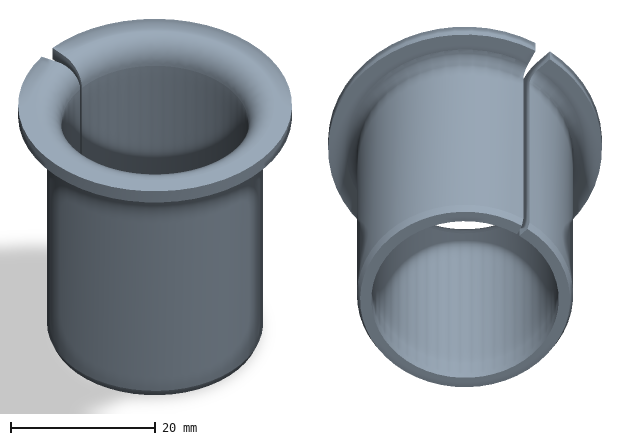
import cadquery as cq

height = 40.0
bore_radius = 13.0
wall = 2.0
flange_radius = 19.0
inner_bend_radius = 3.5
chamfer_height = 1.1
chamfer_width = 0.45
slit_inner_width = 0.4
slit_outer_width = 2.45

body_radius = bore_radius + wall
outer_bend_radius = inner_bend_radius - wall
bend_center_radius = bore_radius + inner_bend_radius
bend_center_z = height - inner_bend_radius
flange_bottom_z = height - wall
half_diagonal = 0.5 ** 0.5


def bend_midpoint(radius):
    """Middle of a quarter bend that turns the wall outward into the flange."""
    offset = radius * half_diagonal
    return (bend_center_radius - offset, bend_center_z + offset)


def make_sleeve():
    """Revolve the wall section, with its curved transition into the flange."""
    section = (
        cq.Workplane("XZ")
        .moveTo(bore_radius, 0)
        .lineTo(body_radius - chamfer_width, 0)
        .lineTo(body_radius, chamfer_height)
        .lineTo(body_radius, bend_center_z)
        .threePointArc(bend_midpoint(outer_bend_radius), (bend_center_radius, flange_bottom_z))
        .lineTo(flange_radius, flange_bottom_z)
        .lineTo(flange_radius, height)
        .lineTo(bend_center_radius, height)
        .threePointArc(bend_midpoint(inner_bend_radius), (bore_radius, bend_center_z))
        .close()
    )
    sleeve = section.revolve(360, (0, 0, 0), (0, 1, 0))
    return sleeve.rotate((0, 0, 0), (0, 0, 1), 180)


def make_slit():
    """Full-height wedge that widens from the bore to beyond the flange rim."""
    half_width_slope = (slit_outer_width - slit_inner_width) / 2 / (flange_radius - bore_radius)

    def half_width(radius):
        return slit_inner_width / 2 + half_width_slope * (radius - bore_radius)

    near = bore_radius - slit_inner_width
    far = flange_radius + wall
    return (
        cq.Workplane("XY")
        .polyline([
            (-near, -half_width(near)),
            (-far, -half_width(far)),
            (-far, half_width(far)),
            (-near, half_width(near)),
        ])
        .close()
        .extrude(height)
    )


result = make_sleeve().cut(make_slit())